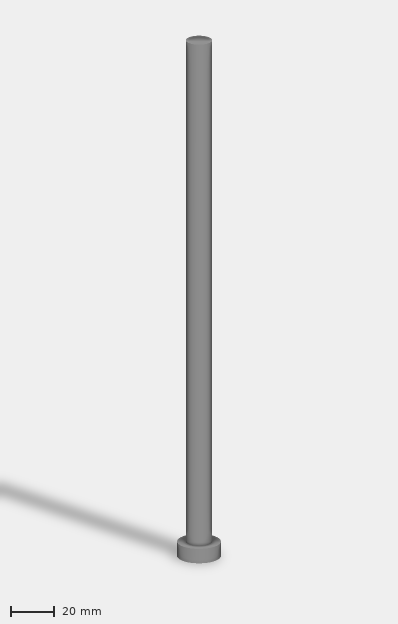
import cadquery as cq

TOTAL_LENGTH = 250.0
HEAD_DIAMETER = 20.0
HEAD_THICKNESS = 7.0
SHANK_DIAMETER = 12.0


def make_head():
    """Round head with its underside on Z = 0."""
    return cq.Workplane("XY").circle(HEAD_DIAMETER / 2).extrude(HEAD_THICKNESS)


def add_shank(head):
    """Straight shank rising from the top of the head."""
    shank_length = TOTAL_LENGTH - HEAD_THICKNESS
    return head.faces(">Z").workplane().circle(SHANK_DIAMETER / 2).extrude(shank_length)


result = add_shank(make_head())